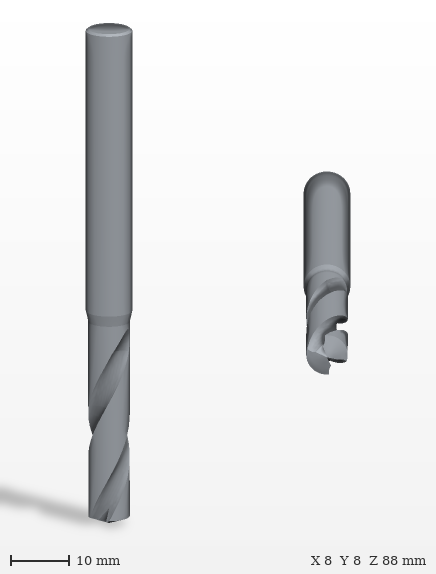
import cadquery as cq
import math

LENGTH = 88.0
SHANK_DIAMETER = 8.0
SHANK_RADIUS = SHANK_DIAMETER / 2
DRILL_DIAMETER = 7.1
DRILL_RADIUS = DRILL_DIAMETER / 2
SHANK_BOTTOM = 37.8
NECK_BOTTOM = 35.9
SPLIT_HEIGHT = 21.0
END_CHAMFER_WIDTH = 0.4
END_CHAMFER_HEIGHT = 0.35
POINT_ANGLE = 140.0
POINT_HEIGHT = DRILL_RADIUS / math.tan(math.radians(POINT_ANGLE / 2))

FLUTE_COUNT = 2
FLUTE_PITCH = 42.2
FLUTE_RADIUS = 2.0
FLUTE_OFFSET = 3.6
FLUTE_TOP = 30.9
FLUTE_BOTTOM = -0.9
FLUTE_FACING_HEIGHT = 20.9
FLUTE_FACING_ANGLE = -90.0
RUNOUT_RISE = 4.8
RUNOUT_OUTWARD = 1.8
RUNOUT_SIDEWAYS = 2.8

GASH_TIP = (0.0, 0.0, 0.0)
GASH_LIP = (-1.2, -3.4, 1.2)
GASH_TOP = (1.85, -1.8, 4.6)
GASH_BOTTOM = (0.7, -2.6, -2.6)


def flute_angle(height):
    """Direction of the first flute, in degrees from +X, at a height."""
    return FLUTE_FACING_ANGLE + 360.0 * (height - FLUTE_FACING_HEIGHT) / FLUTE_PITCH


def make_flute(turn):
    """Cutter for one flute: a twisted helix and a straight oblique run-out."""
    height = FLUTE_TOP - FLUTE_BOTTOM
    helix = (
        cq.Workplane("XY")
        .moveTo(FLUTE_OFFSET, 0)
        .circle(FLUTE_RADIUS)
        .twistExtrude(height, 360.0 * height / FLUTE_PITCH)
        .rotate((0, 0, 0), (0, 0, 1), flute_angle(FLUTE_BOTTOM) + turn)
        .translate((0, 0, FLUTE_BOTTOM))
    )
    section = cq.Wire.makeCircle(
        FLUTE_RADIUS, cq.Vector(FLUTE_OFFSET, 0, FLUTE_TOP), cq.Vector(0, 0, 1)
    )
    slope = cq.Vector(RUNOUT_OUTWARD, RUNOUT_SIDEWAYS, RUNOUT_RISE)
    runout = (
        cq.Workplane(cq.Solid.extrudeLinear(section, [], slope))
        .rotate((0, 0, 0), (0, 0, 1), flute_angle(FLUTE_TOP) + turn)
    )
    return helix, runout


def make_gash(turn):
    """Tetrahedral cutter that opens one flute up to the drill point."""
    corners = [GASH_TIP, GASH_LIP, GASH_TOP, GASH_BOTTOM]
    faces = []
    for skipped in corners:
        triangle = [cq.Vector(*corner) for corner in corners if corner != skipped]
        faces.append(cq.Face.makeFromWires(cq.Wire.makePolygon(triangle, close=True)))
    gash = cq.Solid.makeSolid(cq.Shell.makeShell(faces))
    return cq.Workplane(gash).rotate((0, 0, 0), (0, 0, 1), turn)


def make_blank():
    """Turned drill outline before the flutes are ground."""
    return (
        cq.Workplane("XZ")
        .moveTo(0, 0)
        .lineTo(DRILL_RADIUS, POINT_HEIGHT)
        .lineTo(DRILL_RADIUS, NECK_BOTTOM)
        .lineTo(SHANK_RADIUS, SHANK_BOTTOM)
        .lineTo(SHANK_RADIUS, LENGTH - END_CHAMFER_HEIGHT)
        .lineTo(SHANK_RADIUS - END_CHAMFER_WIDTH, LENGTH)
        .lineTo(0, LENGTH)
        .close()
        .revolve(360, (0, 0), (0, 1))
    )


def slab(bottom, top):
    """Cylinder wider than the drill between two heights."""
    return (
        cq.Workplane("XY")
        .workplane(offset=bottom)
        .circle(2 * SHANK_RADIUS)
        .extrude(top - bottom)
    )


drill = make_blank()
for index in range(FLUTE_COUNT):
    turn = index * 360.0 / FLUTE_COUNT
    helix, runout = make_flute(turn)
    drill = drill.cut(helix).cut(runout).cut(make_gash(turn))

cutting_head = drill.intersect(slab(FLUTE_BOTTOM, SPLIT_HEIGHT))
shank = drill.intersect(slab(SPLIT_HEIGHT, LENGTH))

result = cq.Compound.makeCompound([cutting_head.val(), shank.val()])